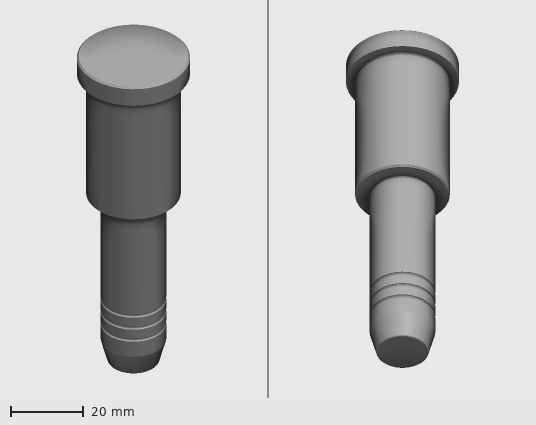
import cadquery as cq
import math

total_length = 101.0

head_radius = 15.5
head_height = 6.0
head_chamfer = 0.5

body_radius = 13.0
body_bottom_z = 55.0
body_chamfer = 0.5

shaft_radius = 9.0
neck_radius = 8.5
neck_length = 1.0

shaft_groove_count = 3
shaft_groove_pitch = 4.0
groove_radius = 0.5
lowest_shaft_groove_z = 12.5

taper_height = 7.0
taper_angle = 15.0
tip_fillet = 0.5


head_bottom_z = total_length - head_height
neck_bottom_z = body_bottom_z - neck_length
head_groove_z = head_bottom_z - groove_radius


def add_groove(outline, surface_radius, center_z):
    """Continue the outline upward along a surface and around a semicircular groove in it."""
    lower_edge = (surface_radius, center_z - groove_radius)
    root = (surface_radius - groove_radius, center_z)
    upper_edge = (surface_radius, center_z + groove_radius)
    return outline.lineTo(*lower_edge).threePointArc(root, upper_edge)


def add_tip(outline):
    """Flat end and conical taper up to the shaft."""
    end_radius = shaft_radius - taper_height * math.tan(math.radians(taper_angle))
    return outline.lineTo(end_radius, 0).lineTo(shaft_radius, taper_height)


def add_shaft(outline):
    """Grooved shaft with a narrower neck where it meets the body."""
    for index in range(shaft_groove_count):
        center_z = lowest_shaft_groove_z + index * shaft_groove_pitch
        outline = add_groove(outline, shaft_radius, center_z)
    return (
        outline
        .lineTo(shaft_radius, neck_bottom_z)
        .lineTo(neck_radius, neck_bottom_z)
        .lineTo(neck_radius, body_bottom_z)
    )


def add_body(outline):
    """Body with a chamfered lower edge and a groove directly under the head."""
    outline = (
        outline
        .lineTo(body_radius - body_chamfer, body_bottom_z)
        .lineTo(body_radius, body_bottom_z + body_chamfer)
    )
    return add_groove(outline, body_radius, head_groove_z)


def add_head(outline):
    """Head with a chamfered upper edge, ending on the axis."""
    return (
        outline
        .lineTo(head_radius, head_bottom_z)
        .lineTo(head_radius, total_length - head_chamfer)
        .lineTo(head_radius - head_chamfer, total_length)
        .lineTo(0, total_length)
    )


def make_pin():
    """Revolve the half outline, drawn as (radius, z), about the Z axis."""
    outline = cq.Workplane("XZ").moveTo(0, 0)
    outline = add_tip(outline)
    outline = add_shaft(outline)
    outline = add_body(outline)
    outline = add_head(outline)
    full_turn = 360
    axis_start = (0, 0, 0)
    axis_end = (0, 1, 0)
    pin = outline.close().revolve(full_turn, axis_start, axis_end)
    return pin.faces("<Z").edges().fillet(tip_fillet)


result = make_pin()